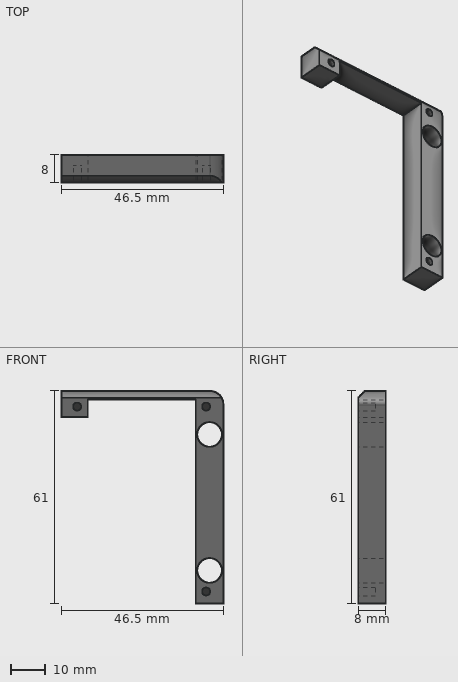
import cadquery as cq

width = 46.5
depth = 8.0
height = 61.0

column_width = 8.0
arm_thickness = 2.5
pad_width = 7.6
pad_height = 7.5
corner_radius = 3.95
chamfer_size = 2.0

bore_diameter = 7.0
upper_bore_drop = 12.5
bore_spacing = 39.0
pin_diameter = 2.3
pin_depth = 5.0
pin_drop = 4.5
pad_pin_inset = 4.5
column_pin_inset = 5.0
lower_pin_rise = 3.5

column_left = width - column_width
bore_x = width - column_width / 2
upper_bore_z = height - upper_bore_drop
bore_centers = [(bore_x, upper_bore_z), (bore_x, upper_bore_z - bore_spacing)]
pin_x = width - column_pin_inset
pin_z = height - pin_drop
pin_centers = [(pad_pin_inset, pin_z), (pin_x, pin_z), (pin_x, lower_pin_rise)]


def frame():
    """Column, top arm and end pad with a rounded outer corner."""
    return (
        cq.Workplane("XZ")
        .moveTo(column_left, 0)
        .lineTo(width, 0)
        .lineTo(width, height - corner_radius)
        .radiusArc((width - corner_radius, height), -corner_radius)
        .lineTo(0, height)
        .lineTo(0, height - pad_height)
        .lineTo(pad_width, height - pad_height)
        .lineTo(pad_width, height - arm_thickness)
        .lineTo(column_left, height - arm_thickness)
        .close()
        .extrude(-depth)
    )


def top_chamfer():
    """Straight wedge along the whole top front edge, across the rounded corner."""
    return (
        cq.Workplane("YZ")
        .moveTo(0, height)
        .lineTo(chamfer_size, height)
        .lineTo(0, height - chamfer_size)
        .close()
        .extrude(width)
    )


def front_holes(centers, diameter, hole_depth):
    """Round cutters going back from the front face."""
    return cq.Workplane("XZ").pushPoints(centers).circle(diameter / 2).extrude(-hole_depth)


result = (
    frame()
    .cut(top_chamfer())
    .cut(front_holes(bore_centers, bore_diameter, depth))
    .cut(front_holes(pin_centers, pin_diameter, pin_depth))
)